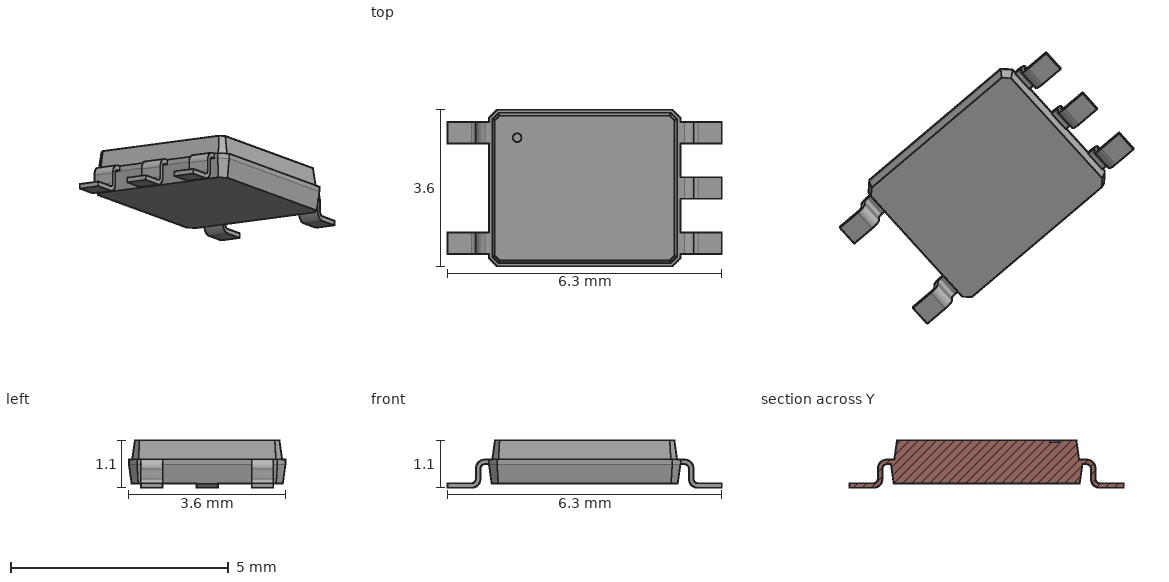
import cadquery as cq
import math

body_length = 4.4
body_width = 3.6
body_height = 1.0
standoff = 0.1
corner_chamfer = 0.19
draft_angle = 8.0
ledge = 0.077

lead_span = 6.3
lead_thickness = 0.11
lead_width = 0.5
lead_pitch = 1.27
foot_length = 0.55
inner_bend_radius = 0.1

mark_diameter = 0.2
mark_depth = 0.05
mark_x = -1.55
mark_y = 1.155

rim_thickness = lead_thickness
shell_height = (body_height - rim_thickness) / 2
rim_bottom = standoff + shell_height
rim_top = rim_bottom + rim_thickness


def chamfered_outline(z, inset):
    """Body outline at height z, with all eight sides moved inward by inset."""
    chamfer = corner_chamfer - inset * (2 - math.sqrt(2))
    return (
        cq.Sketch()
        .rect(body_length - 2 * inset, body_width - 2 * inset)
        .vertices()
        .chamfer(chamfer)
        .moved(cq.Location(cq.Vector(0, 0, z)))
    )


def make_body():
    rim = cq.Workplane("XY").placeSketch(chamfered_outline(rim_bottom, 0)).extrude(rim_thickness)
    lower_shell = (
        cq.Workplane("XY")
        .placeSketch(chamfered_outline(rim_bottom, 0))
        .extrude(-shell_height, taper=draft_angle)
    )
    upper_shell = (
        cq.Workplane("XY")
        .placeSketch(chamfered_outline(rim_top, ledge))
        .extrude(shell_height, taper=draft_angle)
    )
    return rim.union(lower_shell).union(upper_shell)


def make_right_lead(y):
    """Lead on the +X side: flat foot, S-bend up to the rim, and a root ending at the upper shell."""
    outer_bend_radius = inner_bend_radius + lead_thickness
    toe_x = lead_span / 2
    heel_x = toe_x - foot_length
    riser_outer_x = heel_x - inner_bend_radius
    riser_inner_x = riser_outer_x - lead_thickness
    shoulder_x = riser_outer_x - outer_bend_radius
    root_x = body_length / 2 - ledge
    lower_bend_z = outer_bend_radius
    upper_bend_z = rim_top - outer_bend_radius
    diagonal = math.sqrt(0.5)

    def lower_bend_middle(radius):
        return heel_x - radius * diagonal, lower_bend_z - radius * diagonal

    def upper_bend_middle(radius):
        return shoulder_x + radius * diagonal, upper_bend_z + radius * diagonal

    return (
        cq.Workplane("XZ", origin=(0, y, 0))
        .moveTo(toe_x, 0)
        .lineTo(toe_x, lead_thickness)
        .lineTo(heel_x, lead_thickness)
        .threePointArc(lower_bend_middle(inner_bend_radius), (riser_outer_x, lower_bend_z))
        .lineTo(riser_outer_x, upper_bend_z)
        .threePointArc(upper_bend_middle(outer_bend_radius), (shoulder_x, rim_top))
        .lineTo(root_x, rim_top)
        .lineTo(root_x, rim_bottom)
        .lineTo(shoulder_x, rim_bottom)
        .threePointArc(upper_bend_middle(inner_bend_radius), (riser_inner_x, upper_bend_z))
        .lineTo(riser_inner_x, lower_bend_z)
        .threePointArc(lower_bend_middle(outer_bend_radius), (heel_x, 0))
        .close()
        .extrude(lead_width / 2, both=True)
    )


def make_pin_mark():
    body_top = standoff + body_height
    return (
        cq.Workplane("XY", origin=(mark_x, mark_y, body_top))
        .circle(mark_diameter / 2)
        .extrude(-mark_depth)
    )


leads = [make_right_lead(y) for y in (-lead_pitch, 0, lead_pitch)]
leads += [make_right_lead(y).mirror("YZ") for y in (-lead_pitch, lead_pitch)]

result = make_body().cut(make_pin_mark())

for lead in leads:
    result = result.cut(lead).union(lead, clean=False)